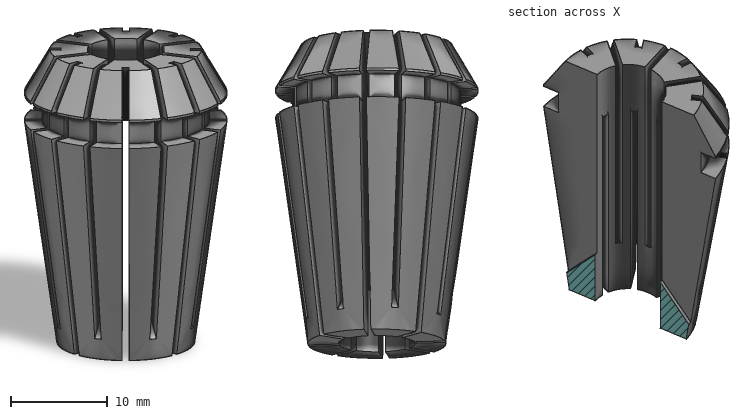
import cadquery as cq

height = 31.5
max_radius = 10.5
nose_radius = 7.85
tail_radius = 7.15
bore_radius = 3.97

groove_radius = 8.7
groove_bottom = 23.88
groove_top = 26.68
rim_top = 26.93

slots_per_set = 8
slot_pitch = 360.0 / slots_per_set
slot_width = 0.72
deep_outer_end = 2.27
deep_inner_end = 6.52
tail_inner_end = height - deep_inner_end
tail_root_radius = 6.7
cut_margin = 1.58
slot_reach = max_radius + cut_margin


def radius_on_taper(z):
    """Outer radius of the long taper at height z."""
    return tail_radius + (max_radius - tail_radius) * z / groove_bottom


def make_body():
    """Revolve the tapered, grooved and bored sleeve about Z."""
    profile = [
        (bore_radius, 0),
        (tail_radius, 0),
        (max_radius, groove_bottom),
        (groove_radius, groove_bottom),
        (groove_radius, groove_top),
        (max_radius, groove_top),
        (max_radius, rim_top),
        (nose_radius, height),
        (bore_radius, height),
    ]
    return cq.Workplane("XZ").polyline(profile).close().revolve(360, (0, 0), (0, 1))


def make_slot_set(outline, first_angle):
    """Radial blades with conical ends: thin boxes trimmed by the revolved radius-height outline."""
    envelope = cq.Workplane("XZ").polyline(outline).close().revolve(360, (0, 0), (0, 1))
    blade = cq.Workplane("XY").box(
        slot_reach, slot_width, height + 2 * cut_margin, centered=(False, True, False)
    )
    blade = blade.translate((0, 0, -cut_margin)).intersect(envelope)
    slots = []
    for index in range(slots_per_set):
        angle = first_angle + index * slot_pitch
        slots.append(blade.rotate((0, 0, 0), (0, 0, 1), angle))
    return slots


deep_outline = [
    (0, deep_inner_end),
    (bore_radius, deep_inner_end),
    (radius_on_taper(deep_outer_end), deep_outer_end),
    (slot_reach, deep_outer_end),
    (slot_reach, height + cut_margin),
    (0, height + cut_margin),
]

tail_outline = [
    (0, -cut_margin),
    (slot_reach, -cut_margin),
    (slot_reach, height + cut_margin),
    (tail_root_radius, height + cut_margin),
    (tail_root_radius, height),
    (bore_radius, tail_inner_end),
    (0, tail_inner_end),
]

result = make_body()
for slot in make_slot_set(deep_outline, 0) + make_slot_set(tail_outline, slot_pitch / 2):
    result = result.cut(slot)